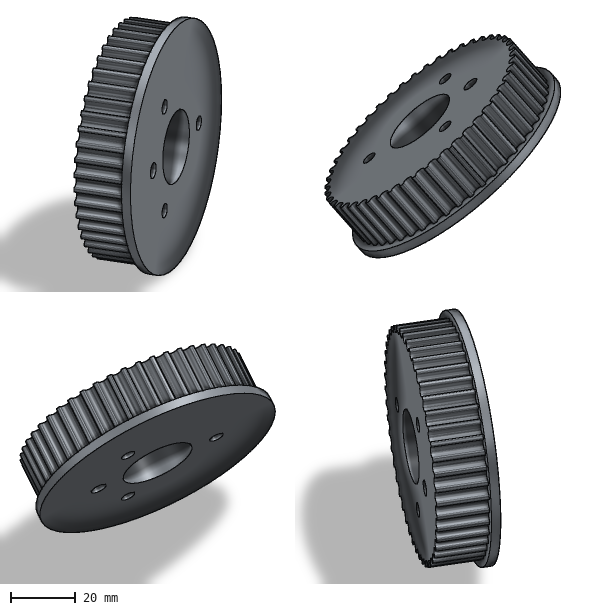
import cadquery as cq
import math

total_width = 19.5
flange_diameter = 80.0
flange_thickness = 3.0
toothed_width = total_width - flange_thickness

tooth_count = 48
tip_radius = 37.6
groove_depth = 2.1
groove_radius = 1.5
groove_floor_width = 0.2
tip_fillet = 0.43

bore_diameter = 23.4
bolt_circle_radius = 20.0
screw_diameter = 4.5
screw_count = 3
pin_diameter = 5.0


def polar(radius, angle):
    """Point at a radius and an angle (radians) about the pulley axis."""
    return (radius * math.cos(angle), radius * math.sin(angle))


def toward(start, end, distance):
    """Point at a given distance from start on the line to end."""
    length = math.dist(start, end)
    return tuple(s + (e - s) * distance / length for s, e in zip(start, end))


def rotated(point, angle):
    """Point turned by an angle (radians) about the pulley axis."""
    x, y = point
    c, s = math.cos(angle), math.sin(angle)
    return (x * c - y * s, x * s + y * c)


def groove_points():
    """Upper half of a groove centred on the first axis, from its floor to the tooth tip.

    The floor is a short flat, followed by a flank arc that meets a rounded
    tooth corner, which in turn runs tangent into the tip circle.
    """
    floor_radius = tip_radius - groove_depth
    flank_center = (floor_radius + groove_radius, groove_floor_width / 2)
    floor_end = (floor_radius, groove_floor_width / 2)

    corner_center_radius = tip_radius - tip_fillet
    center_distance = groove_radius + tip_fillet
    flank_center_radius = math.hypot(*flank_center)
    cos_between = (flank_center_radius**2 + corner_center_radius**2 - center_distance**2) / (
        2 * flank_center_radius * corner_center_radius
    )
    corner_angle = math.atan2(flank_center[1], flank_center[0]) + math.acos(cos_between)
    corner_center = polar(corner_center_radius, corner_angle)

    flank_end = toward(flank_center, corner_center, groove_radius)
    corner_end = polar(tip_radius, corner_angle)

    flank_chord_middle = [(a + b) / 2 for a, b in zip(floor_end, flank_end)]
    flank_middle = toward(flank_center, flank_chord_middle, groove_radius)
    corner_chord_middle = [(a + b) / 2 for a, b in zip(flank_end, corner_end)]
    corner_middle = toward(corner_center, corner_chord_middle, tip_fillet)
    return [floor_end, flank_middle, flank_end, corner_middle, corner_end]


def toothed_body():
    """Toothed rim with a groove centred on the +Y direction."""
    upper = groove_points()
    lower = [(x, -y) for x, y in reversed(upper)]
    pitch_angle = 2 * math.pi / tooth_count

    outline = cq.Workplane("YZ").moveTo(*lower[0])
    for index in range(tooth_count):
        angle = index * pitch_angle
        corner_1, flank_start, flank_1, floor_start = [rotated(p, angle) for p in lower[1:]]
        floor_end, flank_2, flank_end, corner_2, tip_start = [rotated(p, angle) for p in upper]
        tip_middle = polar(tip_radius, angle + pitch_angle / 2)
        tip_end = rotated(lower[0], angle + pitch_angle)
        outline = (
            outline.threePointArc(corner_1, flank_start)
            .threePointArc(flank_1, floor_start)
            .lineTo(*floor_end)
            .threePointArc(flank_2, flank_end)
            .threePointArc(corner_2, tip_start)
            .threePointArc(tip_middle, tip_end)
        )
    return outline.close().extrude(toothed_width)


def flange():
    """Plain disc closing the +X end of the teeth."""
    return (
        cq.Workplane("YZ", origin=(toothed_width, 0, 0))
        .circle(flange_diameter / 2)
        .extrude(flange_thickness)
    )


def holes():
    """Central bore, evenly spaced screw holes starting at +Y, and one pin hole at -Y."""
    bore = cq.Workplane("YZ").circle(bore_diameter / 2).extrude(total_width)
    screws = (
        cq.Workplane("YZ")
        .polarArray(bolt_circle_radius, 0, 360, screw_count)
        .circle(screw_diameter / 2)
        .extrude(total_width)
    )
    pin = (
        cq.Workplane("YZ")
        .center(-bolt_circle_radius, 0)
        .circle(pin_diameter / 2)
        .extrude(total_width)
    )
    return bore.union(screws).union(pin)


result = toothed_body().union(flange()).cut(holes())